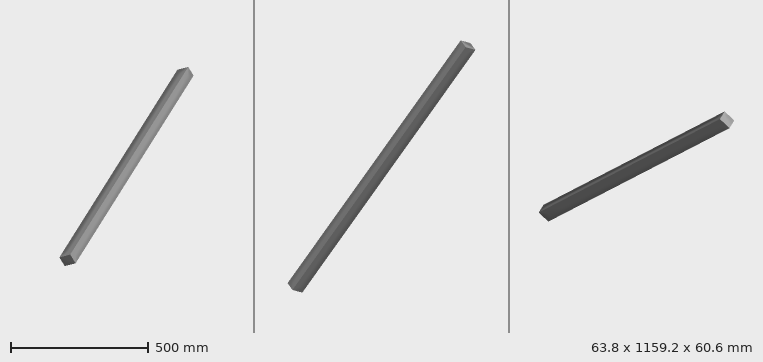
import cadquery as cq

bar_length = 1159.18
bar_width = 50.0
bar_thickness = 40.4
roll_angle = 31.7


def rolled_bar():
    """Solid bar centred on the origin, with its section tilted in the XZ plane."""
    bar = cq.Workplane("XY").box(bar_width, bar_length, bar_thickness)
    return bar.rotate((0, 0, 0), (0, 1, 0), -roll_angle)


result = rolled_bar()